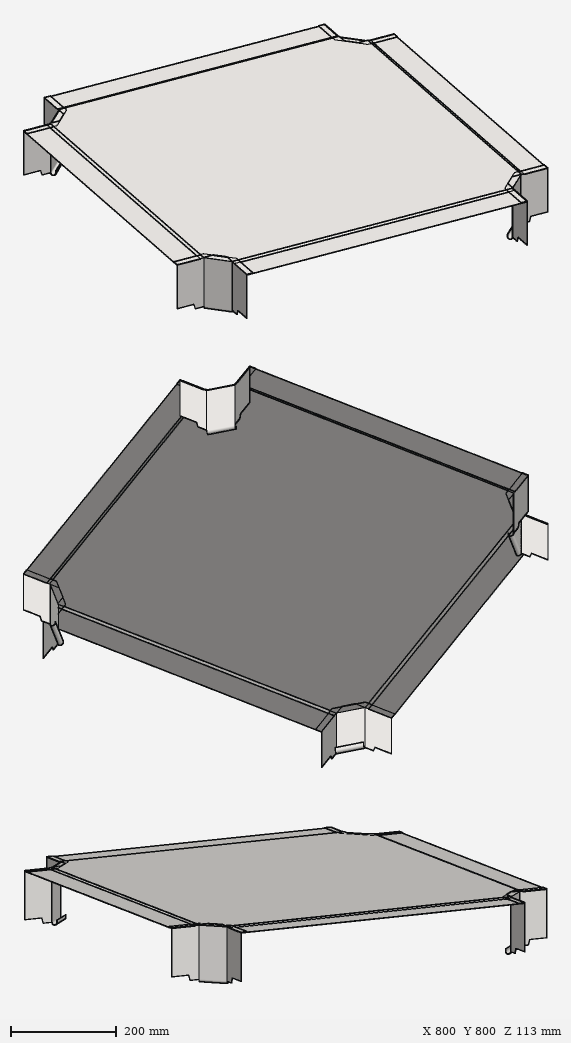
import cadquery as cq
import math

span = 800.0
total_height = 113.0
sheet = 1.2
half_span = span / 2

channel_half = 303.0
centre_half = 343.0
corner_cut = 19.0
step_half = 290.0
step_run = 6.5

wall_corner = 342.5
diagonal_flange = 14.5
end_wall_height = 97.0
end_wall_length = 36.0
end_step_run = 3.0
lip_radius = 6.0
lip_upturn = 5.0

flange_top = -sheet
flange_bottom = flange_top - sheet
arm_top = flange_bottom
arm_bottom = arm_top - sheet
lip_centre_z = lip_radius - total_height

wall_inner = channel_half - sheet
step_end = centre_half + step_run
corner_sum = channel_half + wall_corner


def quarter_turns(body, turns):
    """Turn a body about Z by a number of quarter turns."""
    return body.rotate((0, 0, 0), (0, 0, 1), 90 * turns)


def make_raised_cross():
    """Flat cross with its four inner corners filled by chamfers."""
    bar = cq.Workplane("XY").rect(2 * centre_half, 2 * channel_half).extrude(-sheet)
    cross = bar.union(quarter_turns(bar, 1))
    corner_fill = (
        cq.Workplane("XY")
        .moveTo(channel_half, channel_half)
        .lineTo(channel_half + corner_cut, channel_half)
        .lineTo(channel_half, channel_half + corner_cut)
        .close()
        .extrude(-sheet)
    )
    for turns in range(4):
        cross = cross.union(quarter_turns(corner_fill, turns))
    return cross


def make_lowered_arm():
    """Slope and lowered arm on the +X side; the arm fills the width between the walls."""
    slope = (
        cq.Workplane("XZ")
        .moveTo(centre_half, 0)
        .lineTo(step_end, arm_top)
        .lineTo(step_end, arm_bottom)
        .lineTo(centre_half, -sheet)
        .close()
        .extrude(step_half, both=True)
    )
    arm = (
        cq.Workplane("XY", origin=(0, 0, arm_top))
        .moveTo(step_end, -wall_inner)
        .lineTo(half_span, -wall_inner)
        .lineTo(half_span, wall_inner)
        .lineTo(step_end, wall_inner)
        .close()
        .extrude(-sheet)
    )
    return slope.union(arm)


def make_base_plate():
    """Raised cross with a lowered arm on each side."""
    plate = make_raised_cross()
    for turns in range(4):
        plate = plate.union(quarter_turns(make_lowered_arm(), turns))
    return plate


def make_bent_strip(inner_half, diagonal_depth, top, bottom):
    """Strip along the two arm walls and the diagonal wall of the +X +Y corner."""
    inner_corner = corner_sum - diagonal_depth * math.sqrt(2) - inner_half
    return (
        cq.Workplane("XY", origin=(0, 0, bottom))
        .moveTo(channel_half, half_span)
        .lineTo(channel_half, wall_corner)
        .lineTo(wall_corner, channel_half)
        .lineTo(half_span, channel_half)
        .lineTo(half_span, inner_half)
        .lineTo(inner_corner, inner_half)
        .lineTo(inner_half, inner_corner)
        .lineTo(inner_half, half_span)
        .close()
        .extrude(top - bottom)
    )


def make_end_notch():
    """Material below the shallower end of the wall that runs along X."""
    notch_start = half_span - end_wall_length
    return (
        cq.Workplane("XZ")
        .moveTo(half_span, -end_wall_height)
        .lineTo(notch_start, -end_wall_height)
        .lineTo(notch_start - end_step_run, lip_centre_z)
        .lineTo(half_span, lip_centre_z)
        .close()
        .extrude(-channel_half)
    )


def make_lip():
    """J-shaped lip curling inward below the diagonal wall."""
    lip_width = 2 * lip_radius
    lip_length = (wall_corner - channel_half) * math.sqrt(2)
    profile_plane = cq.Plane(
        origin=(corner_sum / 2, corner_sum / 2, lip_centre_z),
        xDir=(-1, -1, 0),
        normal=(-1, 1, 0),
    )
    return (
        cq.Workplane(profile_plane)
        .moveTo(0, 0)
        .threePointArc((lip_radius, -lip_radius), (lip_width, 0))
        .lineTo(lip_width, lip_upturn)
        .lineTo(lip_width - sheet, lip_upturn)
        .lineTo(lip_width - sheet, 0)
        .threePointArc((lip_radius, sheet - lip_radius), (sheet, 0))
        .close()
        .extrude(lip_length / 2, both=True)
    )


def make_corner_bracket():
    """Bracket of the +X +Y corner: walls, top flange and lip in one folded sheet."""
    walls = make_bent_strip(wall_inner, sheet, flange_top, lip_centre_z)
    notch_along_x = make_end_notch()
    notch_along_y = quarter_turns(notch_along_x.mirror("XZ"), 1)
    flange = make_bent_strip(step_half, diagonal_flange, flange_top, flange_bottom)
    return walls.cut(notch_along_x).cut(notch_along_y).union(flange).union(make_lip())


base_plate = make_base_plate()
corner_bracket = make_corner_bracket()
corner_brackets = [quarter_turns(corner_bracket, turns) for turns in range(4)]

result = cq.Compound.makeCompound(
    [base_plate.val(), *[bracket.val() for bracket in corner_brackets]]
)